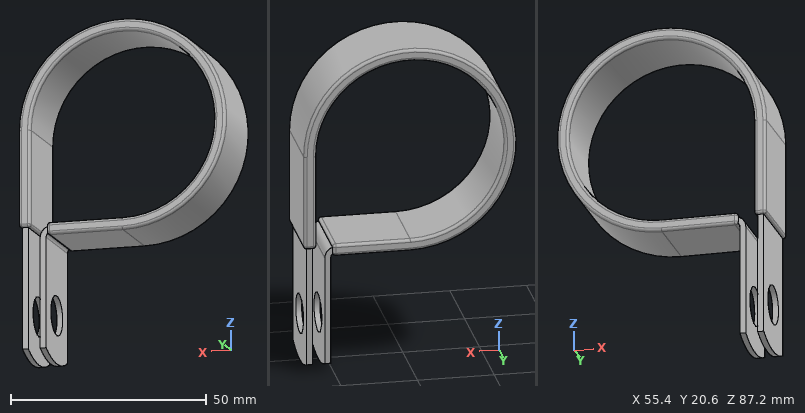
import cadquery as cq
import math


strip_thickness = 1.5875
strip_width = 19.05
cushion_cover = 0.79375
cushion_width = strip_width + 2 * cushion_cover
cushion_thickness = strip_thickness + 2 * cushion_cover

cushion_outer_radius = 27.71
bore_radius = cushion_outer_radius - cushion_thickness
strip_inner_radius = bore_radius + cushion_cover
strip_outer_radius = strip_inner_radius + strip_thickness

leg_gap = 3.175
bent_leg_outer_x = strip_inner_radius - leg_gap
bent_leg_inner_x = bent_leg_outer_x - strip_thickness
bend_inner_radius = 1.4
bend_outer_radius = bend_inner_radius + strip_thickness
bend_center_x = bent_leg_inner_x - bend_inner_radius
bend_center_z = -strip_outer_radius - bend_inner_radius
leg_tip_z = -59.51
leg_corner_rise = 2.15

hole_diameter = 10.319
hole_above_tip = 12.7

cushion_bottom_z = -25.4
cushion_end_x = 20.18


def centred_profile(width):
    """XZ sketch plane from which an extrusion of the given width is centred on Y."""
    return cq.Workplane("XZ", origin=(0, width / 2, 0))


def arc_point(radius, angle, center=(0, 0)):
    """Point on a circle in the XZ plane, with the angle in degrees from +X towards +Z."""
    turn = math.radians(angle)
    return (center[0] + radius * math.cos(turn), center[1] + radius * math.sin(turn))


def make_cushion():
    """Loop with a straight run at each end, rounded along its sides and at its ends."""
    cushion = (
        centred_profile(cushion_width)
        .moveTo(bore_radius, cushion_bottom_z)
        .lineTo(bore_radius, 0)
        .threePointArc(arc_point(bore_radius, 135), (0, -bore_radius))
        .lineTo(cushion_end_x, -bore_radius)
        .lineTo(cushion_end_x, -cushion_outer_radius)
        .lineTo(0, -cushion_outer_radius)
        .threePointArc(arc_point(cushion_outer_radius, 135), (cushion_outer_radius, 0))
        .lineTo(cushion_outer_radius, cushion_bottom_z)
        .close()
        .extrude(cushion_width)
    )
    side_edges = cushion.faces("<Y or >Y").edges()
    open_quadrant = cq.selectors.BoxSelector(
        (cushion_thickness, -cushion_width, -cushion_thickness),
        (2 * cushion_outer_radius, cushion_width, -2 * cushion_outer_radius),
    )
    end_edges = cushion.edges("|Y").edges(open_quadrant)
    return side_edges.add(end_edges).fillet(cushion_cover)


def make_bent_strip():
    """Metal strip with square leg tips: straight leg, loop, bottom run and bent leg."""
    bend_center = (bend_center_x, bend_center_z)
    return (
        centred_profile(strip_width)
        .moveTo(strip_inner_radius, leg_tip_z)
        .lineTo(strip_inner_radius, 0)
        .threePointArc(arc_point(strip_inner_radius, 135), (0, -strip_inner_radius))
        .lineTo(bend_center_x, -strip_inner_radius)
        .threePointArc(arc_point(bend_outer_radius, 45, bend_center), (bent_leg_outer_x, bend_center_z))
        .lineTo(bent_leg_outer_x, leg_tip_z)
        .lineTo(bent_leg_inner_x, leg_tip_z)
        .lineTo(bent_leg_inner_x, bend_center_z)
        .threePointArc(arc_point(bend_inner_radius, 45, bend_center), (bend_center_x, -strip_outer_radius))
        .lineTo(0, -strip_outer_radius)
        .threePointArc(arc_point(strip_outer_radius, 135), (strip_outer_radius, 0))
        .lineTo(strip_outer_radius, leg_tip_z)
        .close()
        .extrude(strip_width)
    )


def make_tip_envelope():
    """Block as wide as the strip with a rounded bottom, which trims both leg tips."""
    half_width = strip_width / 2
    corner_z = leg_tip_z + leg_corner_rise
    return (
        cq.Workplane("YZ", origin=(-cushion_outer_radius, 0, 0))
        .moveTo(-half_width, cushion_outer_radius)
        .lineTo(-half_width, corner_z)
        .threePointArc((0, leg_tip_z), (half_width, corner_z))
        .lineTo(half_width, cushion_outer_radius)
        .close()
        .extrude(2 * cushion_outer_radius)
    )


def make_mounting_hole():
    """Cylinder along X that passes through both legs."""
    return (
        cq.Workplane("YZ")
        .center(0, leg_tip_z + hole_above_tip)
        .circle(hole_diameter / 2)
        .extrude(cushion_outer_radius)
    )


strip = make_bent_strip().intersect(make_tip_envelope()).cut(make_mounting_hole())
result = make_cushion().union(strip)